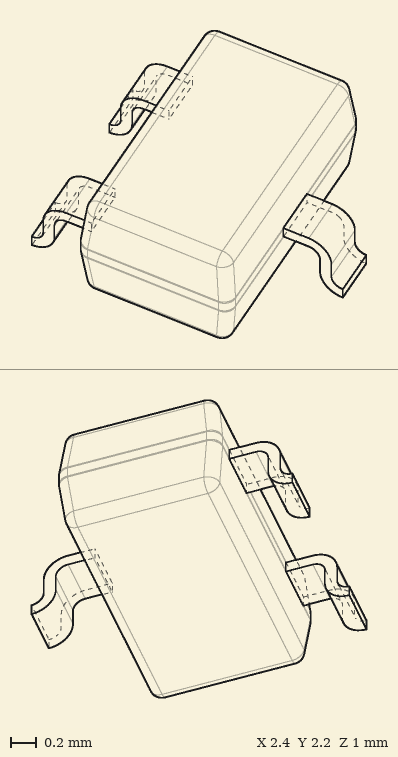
import cadquery as cq
import math

overall_length = 2.4
housing_width = 1.35
housing_depth = 2.2
housing_height = 1.0
draft_angle = 6.0
edge_radius = 0.098

lead_thickness = 0.1
lead_width = 0.395
lead_pitch = 1.3
bend_inner_radius = 0.1
bend_outer_radius = bend_inner_radius + lead_thickness

band_height = lead_thickness
band_top = (housing_height + band_height) / 2
cap_height = (housing_height - band_height) / 2


def make_housing():
    """Upright band with a drafted cap above and below, rounded on every edge."""
    band = cq.Workplane("XY").box(housing_width, housing_depth, band_height)
    upper_cap = (
        band.faces(">Z").workplane()
        .rect(housing_width, housing_depth)
        .extrude(cap_height, taper=draft_angle, combine=False)
    )
    lower_cap = upper_cap.mirror("XY")
    return (
        band.union(upper_cap).union(lower_cap)
        .edges().fillet(edge_radius)
        .translate((0, 0, housing_height / 2))
    )


def make_lead(side, y_center):
    """Gull-wing lead; side is -1 for the -X end and +1 for the +X end."""
    tip_x = overall_length / 2
    root_x = housing_width / 2
    leg_outer_x = tip_x - bend_inner_radius
    leg_inner_x = tip_x - bend_outer_radius
    shoulder_x = leg_outer_x - bend_outer_radius
    shoulder_z = band_top - bend_outer_radius
    foot_z = bend_outer_radius
    diagonal = math.sqrt(0.5)
    outer_mid = bend_outer_radius * diagonal
    inner_mid = bend_inner_radius * diagonal

    lead = (
        cq.Workplane("XZ")
        .moveTo(root_x, band_top)
        .lineTo(shoulder_x, band_top)
        .threePointArc((shoulder_x + outer_mid, shoulder_z + outer_mid), (leg_outer_x, shoulder_z))
        .lineTo(leg_outer_x, foot_z)
        .threePointArc((tip_x - inner_mid, foot_z - inner_mid), (tip_x, lead_thickness))
        .lineTo(tip_x, 0)
        .threePointArc((tip_x - outer_mid, foot_z - outer_mid), (leg_inner_x, foot_z))
        .lineTo(leg_inner_x, shoulder_z)
        .threePointArc(
            (shoulder_x + inner_mid, shoulder_z + inner_mid),
            (shoulder_x, band_top - lead_thickness),
        )
        .lineTo(root_x, band_top - lead_thickness)
        .close()
        .extrude(lead_width / 2, both=True)
    )
    if side < 0:
        lead = lead.mirror("YZ")
    return lead.translate((0, y_center, 0))


lead_places = [(-1, -lead_pitch / 2), (-1, lead_pitch / 2), (1, 0)]

housing = make_housing()
leads = [make_lead(side, y_center) for side, y_center in lead_places]

result = cq.Compound.makeCompound([housing.solids().val(), *[lead.val() for lead in leads]])